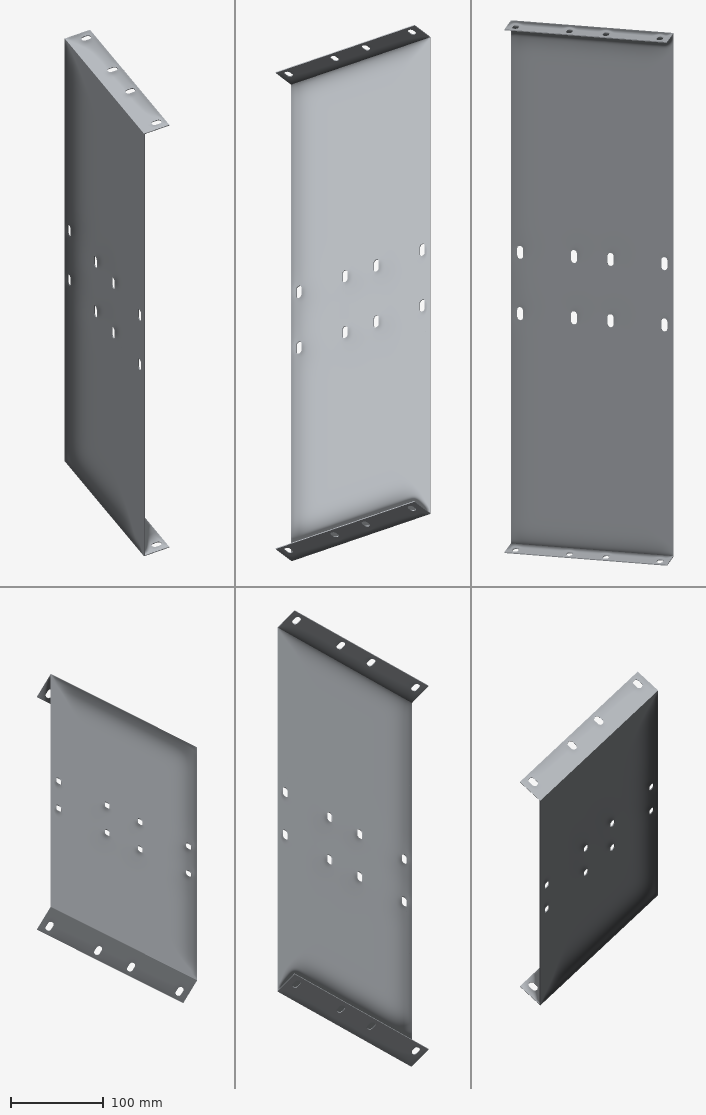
import cadquery as cq

width = 180.0
depth = 31.0
height = 597.0
thickness = 1.0

outer_column = 80.0
inner_column = 20.0
columns = [-outer_column, -inner_column, inner_column, outer_column]
slot_width = 6.5

web_slot_length = 15.0
row_spacing = 70.0

flange_slot_length = 11.5
flange_slot_setback = 10.0


def make_channel():
    """Front web with a flange folded backward at the top and bottom."""
    outer = cq.Workplane("XY").box(width, depth, height)
    hollow = cq.Workplane("XY").box(width, depth, height - 2 * thickness)
    return outer.cut(hollow.translate((0, thickness, 0)))


def web_slots():
    """Cutters for the two rows of slots through the web."""
    rows = [-row_spacing / 2, row_spacing / 2]
    return (
        cq.Workplane("XZ")
        .pushPoints([(x, z) for x in columns for z in rows])
        .slot2D(web_slot_length, slot_width, 90)
        .extrude(depth, both=True)
    )


def flange_slots():
    """Cutters for the matching slots through both flanges."""
    slot_y = depth / 2 - flange_slot_setback
    return (
        cq.Workplane("XY")
        .pushPoints([(x, slot_y) for x in columns])
        .slot2D(flange_slot_length, slot_width, 90)
        .extrude(height, both=True)
    )


result = make_channel().cut(web_slots()).cut(flange_slots())